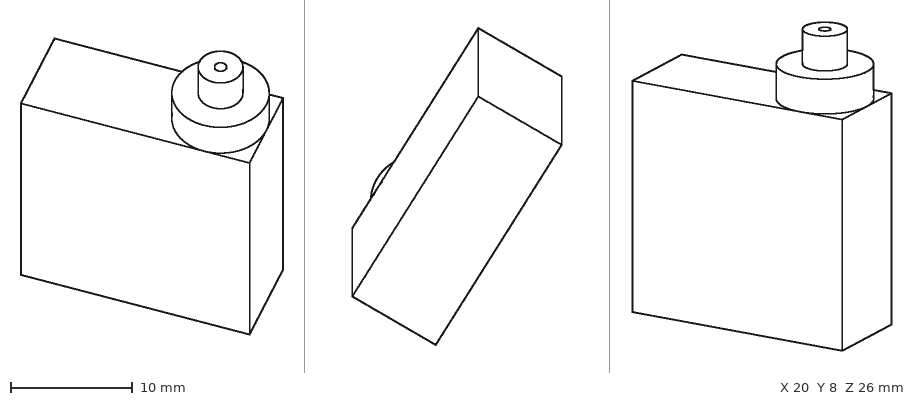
import cadquery as cq

total_height = 26.0
body_length = 20.0
body_width = 8.0
shaft_diameter = 3.7
hole_diameter = 1.0

body_height = body_length
collar_diameter = body_width
step_height = (total_height - body_height) / 2
hole_depth = step_height
shaft_x = (body_length - collar_diameter) / 2


def vertical_cylinder(diameter, height, base_z):
    """Cylinder on the shaft axis, rising from base_z."""
    return (
        cq.Workplane("XY", origin=(shaft_x, 0, base_z))
        .circle(diameter / 2)
        .extrude(height)
    )


body = cq.Workplane("XY").box(body_length, body_width, body_height, centered=(True, True, False))

collar = vertical_cylinder(collar_diameter, step_height, body_height)
shaft = vertical_cylinder(shaft_diameter, step_height, body_height + step_height)

hole = vertical_cylinder(hole_diameter, hole_depth, total_height - hole_depth)

result = body.union(collar).union(shaft).cut(hole)